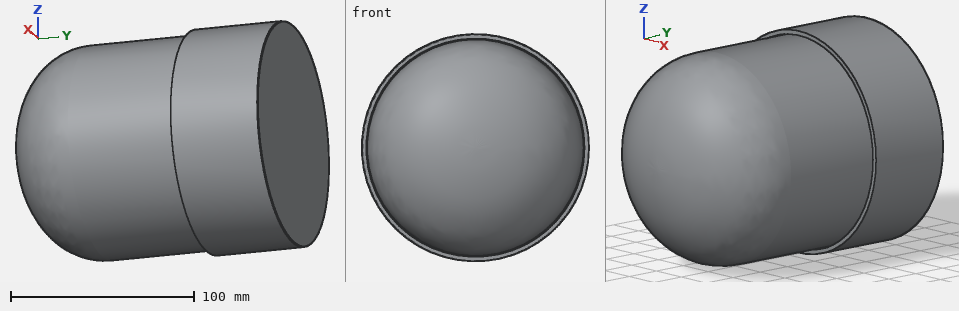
import cadquery as cq

TOTAL_LENGTH = 155.0
DOME_HEIGHT = 45.0
HOUSING_LENGTH = 50.0

HOUSING_DIAMETER = 124.0
HOUSING_BORE = 119.0
WALL = (HOUSING_DIAMETER - HOUSING_BORE) / 2
BACK_CHAMFER = 0.5

COVER_DIAMETER = 118.0
COVER_RADIUS = COVER_DIAMETER / 2
DOME_FULLNESS = 0.58

BACK_Y = TOTAL_LENGTH / 2
TIP_Y = -TOTAL_LENGTH / 2
DOME_BASE_Y = TIP_Y + DOME_HEIGHT
HOUSING_FRONT_Y = BACK_Y - HOUSING_LENGTH
FLOOR_Y = BACK_Y - WALL


def cylinder_along_y(diameter, start_y, end_y):
    """Solid cylinder centred on the Y axis, from start_y up to end_y."""
    return (
        cq.Workplane("XZ", origin=(0, end_y, 0))
        .circle(diameter / 2)
        .extrude(end_y - start_y)
    )


def make_housing():
    """Round cup, open towards -Y, with a small chamfer around its back."""
    body = cylinder_along_y(HOUSING_DIAMETER, HOUSING_FRONT_Y, BACK_Y)
    body = body.faces(">Y").chamfer(BACK_CHAMFER)
    return body.cut(cylinder_along_y(HOUSING_BORE, HOUSING_FRONT_Y, FLOOR_Y))


def make_cover():
    """Domed bar standing on the housing floor; one smooth curve forms the dome."""
    shoulder_handle = (COVER_RADIUS, DOME_BASE_Y - DOME_FULLNESS * DOME_HEIGHT)
    crown_handle = (DOME_FULLNESS * COVER_RADIUS, TIP_Y)
    return (
        cq.Workplane("XY")
        .moveTo(0, FLOOR_Y)
        .lineTo(COVER_RADIUS, FLOOR_Y)
        .lineTo(COVER_RADIUS, DOME_BASE_Y)
        .bezier([shoulder_handle, crown_handle, (0, TIP_Y)], includeCurrent=True)
        .close()
        .revolve(360, (0, 0, 0), (0, 1, 0))
    )


housing = make_housing()
cover = make_cover()

result = cq.Compound.makeCompound([housing.val(), cover.val()])